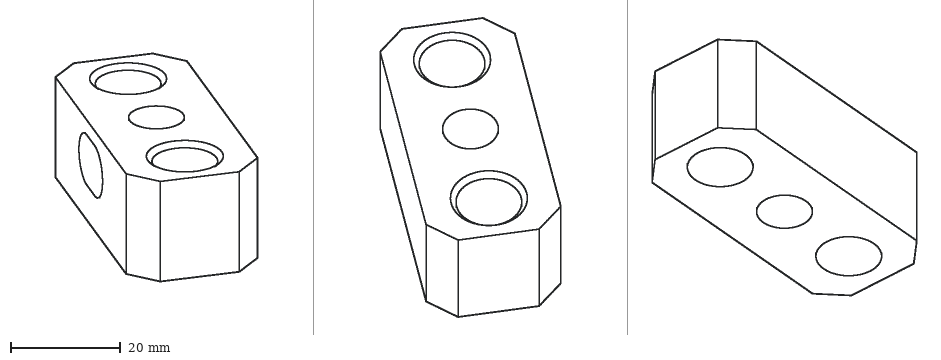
import cadquery as cq

length = 55.0
width = 25.0
height = 20.0
corner_chamfer = 5.0

bore_diameter = 12.0
countersink_diameter = 14.0
countersink_angle = 90.0
bore_spacing = 36.0
center_hole_diameter = 10.2

slot_length = 15.0
slot_height = 10.0
slot_depth = 5.0
slot_below_top = 8.0


def make_block():
    """Block resting on Z = 0, with its four upright edges chamfered."""
    block = cq.Workplane("XY").box(length, width, height, centered=(True, True, False))
    return block.edges("|Z").chamfer(corner_chamfer)


def drill_holes(body):
    """Two countersunk bores on either side of a plain center hole."""
    top = body.faces(">Z").workplane(origin=(0, 0, height))
    body = top.hole(center_hole_diameter)
    top = body.faces(">Z").workplane(origin=(0, 0, height))
    bores = top.pushPoints([(-bore_spacing / 2, 0), (bore_spacing / 2, 0)])
    return bores.cskHole(bore_diameter, countersink_diameter, countersink_angle)


def make_slot():
    """Round-ended slot volume reaching inward from the -Y side."""
    front = cq.Workplane("XZ", origin=(0, -width / 2, height - slot_below_top))
    return front.slot2D(slot_length, slot_height).extrude(-slot_depth)


result = drill_holes(make_block()).cut(make_slot())